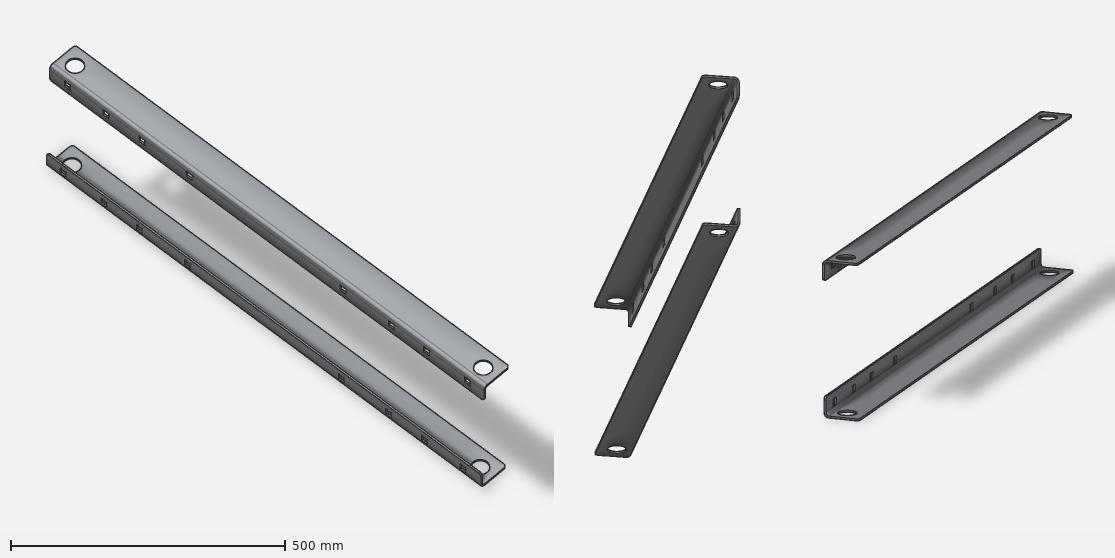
import cadquery as cq

overall_length = 1100.0
overall_height = 300.0
end_offset = 8.0
rail_length = overall_length - end_offset

shelf_width = 68.0
flange_height = 40.0
sheet_thickness = 4.0
outer_bend_radius = 10.0
inner_bend_radius = outer_bend_radius - sheet_thickness
corner_radius = 7.0

shelf_hole_diameter = 35.0
shelf_hole_end_distance = 33.0
shelf_hole_front_distance = 33.0

square_hole_size = 14.0
square_hole_depth_below_top = 19.0
left_hole_distances = [45.0, 142.0, 232.0, 351.0]
right_hole_distances = [42.0, 144.0, 233.0, 354.0]


def bent_sheet():
    """Angle running along +X, with its shelf on top and its flange hanging at the front."""
    sheet = (
        cq.Workplane("YZ")
        .moveTo(0, -flange_height)
        .lineTo(0, -outer_bend_radius)
        .radiusArc((outer_bend_radius, 0), outer_bend_radius)
        .lineTo(shelf_width, 0)
        .lineTo(shelf_width, -sheet_thickness)
        .lineTo(outer_bend_radius, -sheet_thickness)
        .radiusArc((sheet_thickness, -outer_bend_radius), -inner_bend_radius)
        .lineTo(sheet_thickness, -flange_height)
        .close()
        .extrude(rail_length)
    )
    sheet = sheet.faces(">Y").edges("|Z").fillet(corner_radius)
    return sheet.faces("<Z").edges("|Y").fillet(corner_radius)


def shelf_holes():
    """Cutters for the round hole near each end of the shelf."""
    hole_places = [
        (shelf_hole_end_distance, shelf_hole_front_distance),
        (rail_length - shelf_hole_end_distance, shelf_hole_front_distance),
    ]
    return (
        cq.Workplane("XY")
        .pushPoints(hole_places)
        .circle(shelf_hole_diameter / 2)
        .extrude(-sheet_thickness)
    )


def flange_holes():
    """Cutters for the row of square holes through the flange."""
    hole_xs = left_hole_distances + [rail_length - distance for distance in right_hole_distances]
    return (
        cq.Workplane("XZ")
        .pushPoints([(x, -square_hole_depth_below_top) for x in hole_xs])
        .rect(square_hole_size, square_hole_size)
        .extrude(-outer_bend_radius)
    )


def angle_rail():
    """Complete rail with its left end at X = 0 and its shelf top at Z = 0."""
    return bent_sheet().cut(shelf_holes()).cut(flange_holes())


upper_rail = angle_rail().translate((end_offset, 0, overall_height))
lower_rail = angle_rail().rotate((0, 0, 0), (0, 1, 0), 180).translate((rail_length, 0, 0))

result = cq.Compound.makeCompound([upper_rail.val(), lower_rail.val()])